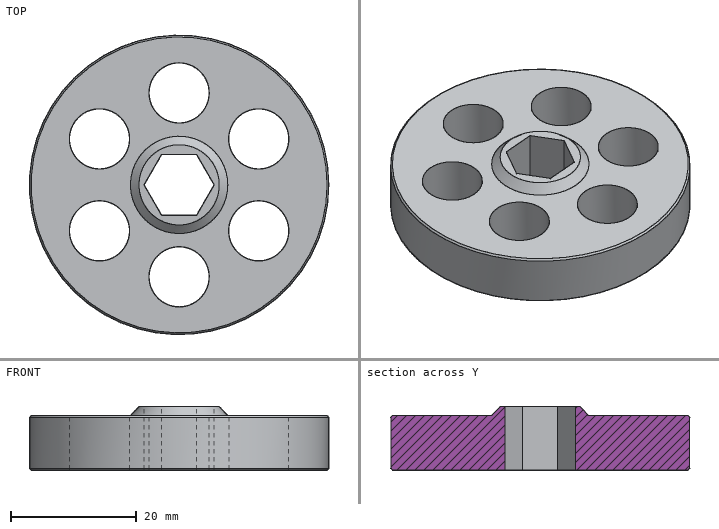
import cadquery as cq
import math

disc_diameter = 47.6
total_height = 10.15
boss_height = 1.45
disc_height = total_height - boss_height
rim_chamfer = 0.3

boss_base_diameter = 15.5
boss_top_diameter = 12.75

hex_sides = 6
hex_across_flats = 9.6
hex_corner_radius = hex_across_flats / 2 / math.cos(math.pi / hex_sides)

hole_count = 6
hole_diameter = 9.52
hole_circle_radius = 14.6
first_hole_angle = 90.0


def make_disc():
    disc = cq.Workplane("XY").circle(disc_diameter / 2).extrude(disc_height)
    return disc.faces("<Z or >Z").edges().chamfer(rim_chamfer)


def make_boss():
    return (
        cq.Workplane("XY", origin=(0, 0, disc_height))
        .circle(boss_base_diameter / 2)
        .workplane(offset=boss_height)
        .circle(boss_top_diameter / 2)
        .loft()
    )


def make_hex_bore():
    corner_angles = [2 * math.pi * i / hex_sides for i in range(hex_sides)]
    corners = [
        (hex_corner_radius * math.cos(angle), hex_corner_radius * math.sin(angle))
        for angle in corner_angles
    ]
    return cq.Workplane("XY").polyline(corners).close().extrude(total_height)


def make_lightening_holes():
    return (
        cq.Workplane("XY")
        .polarArray(hole_circle_radius, first_hole_angle, 360, hole_count)
        .circle(hole_diameter / 2)
        .extrude(disc_height)
    )


result = make_disc().union(make_boss()).cut(make_hex_bore()).cut(make_lightening_holes())